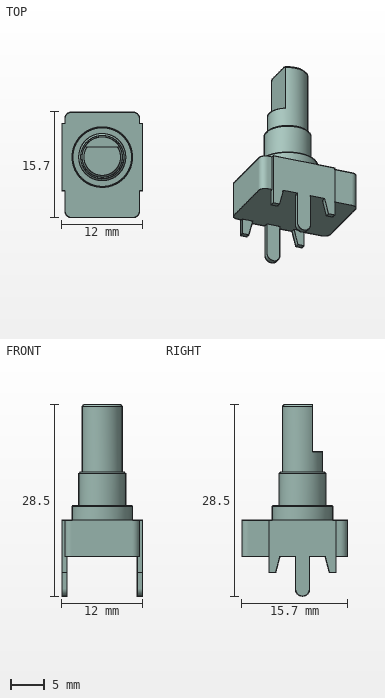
import cadquery as cq

total_height = 28.5
pin_length = 5.9
body_height = 5.42
shaft_top = total_height - pin_length

body_width = 11.12
body_front = 9.0
body_back = 6.7
corner_radius = 1.0
plate_width = 12.0
plate_length = 10.0

boss_diameter = 9.0
boss_height = 2.2
boss_chamfer = 0.15
bushing_diameter = 7.0
bushing_height = 5.0
shaft_diameter = 6.0
edge_chamfer = 0.28
flat_offset = 1.5
flat_length = 7.0

sheet_thickness = 0.8
pin_width = 2.1
leg_length = 2.4
leg_root_width = 1.65
leg_tip_width = 1.03


def make_body():
    """Rounded housing joined to the wider plate band."""
    length = body_front + body_back
    housing = (
        cq.Workplane("XY")
        .center(0, (body_back - body_front) / 2)
        .rect(body_width, length)
        .extrude(body_height)
        .edges("|Z")
        .fillet(corner_radius)
    )
    plate = cq.Workplane("XY").rect(plate_width, plate_length).extrude(body_height)
    return housing.union(plate)


def chamfered_cylinder(diameter, bottom, height, chamfer):
    """Upright cylinder with its top edge chamfered."""
    return (
        cq.Workplane("XY", origin=(0, 0, bottom))
        .circle(diameter / 2)
        .extrude(height)
        .faces(">Z")
        .chamfer(chamfer)
    )


def make_shaft():
    """Boss, bushing and D-shaped shaft stacked on the body."""
    boss = chamfered_cylinder(boss_diameter, body_height, boss_height, boss_chamfer)
    bushing_bottom = body_height + boss_height
    bushing = chamfered_cylinder(bushing_diameter, bushing_bottom, bushing_height, edge_chamfer)
    shaft = chamfered_cylinder(shaft_diameter, body_height, shaft_top - body_height, edge_chamfer)
    flat_cutter = (
        cq.Workplane("XY", origin=(0, flat_offset, shaft_top - flat_length))
        .box(shaft_diameter, shaft_diameter, flat_length, centered=(True, False, False))
    )
    return boss.union(bushing).union(shaft.cut(flat_cutter))


def make_pin_row(inner_x):
    """Long round-ended pin between two tapered legs, in one sheet."""
    sheet = cq.Workplane("YZ", origin=(inner_x, 0, 0))
    half_pin = pin_width / 2
    round_start = half_pin - pin_length
    row = (
        sheet.moveTo(-half_pin, body_height)
        .lineTo(-half_pin, round_start)
        .threePointArc((0, -pin_length), (half_pin, round_start))
        .lineTo(half_pin, body_height)
        .close()
        .extrude(sheet_thickness)
    )
    outer_y = plate_length / 2
    for side in (-1, 1):
        leg_profile = [
            (side * outer_y, 0),
            (side * outer_y, -leg_length),
            (side * (outer_y - leg_tip_width), -leg_length),
            (side * (outer_y - leg_root_width), 0),
        ]
        row = row.union(sheet.polyline(leg_profile).close().extrude(sheet_thickness))
    return row


result = make_body().union(make_shaft())
for sheet_x in (-plate_width / 2, plate_width / 2 - sheet_thickness):
    result = result.union(make_pin_row(sheet_x))